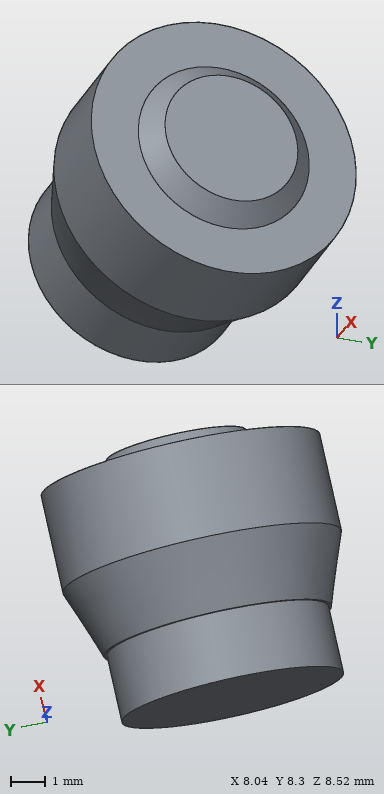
import cadquery as cq

tilt = 5.0
neck_diameter = 6.6
neck_length = 2.0
shoulder_diameter = 6.77
body_diameter = 8.3
flare_length = 2.09
body_length = 2.91
tip_base_diameter = 5.35
tip_height = 0.6
tip_end_diameter = tip_base_diameter - 2 * tip_height

flare_start = neck_length
body_start = flare_start + flare_length
body_end = body_start + body_length
tip_end = body_end + tip_height

half_profile = (
    cq.Workplane("XY")
    .moveTo(0, 0)
    .lineTo(0, neck_diameter / 2)
    .lineTo(flare_start, neck_diameter / 2)
    .lineTo(flare_start, shoulder_diameter / 2)
    .lineTo(body_start, body_diameter / 2)
    .lineTo(body_end, body_diameter / 2)
    .lineTo(body_end, tip_base_diameter / 2)
    .lineTo(tip_end, tip_end_diameter / 2)
    .lineTo(tip_end, 0)
    .close()
)

turned_part = half_profile.revolve(360, (0, 0, 0), (1, 0, 0))
result = turned_part.rotate((0, 0, 0), (0, 1, 0), -tilt)